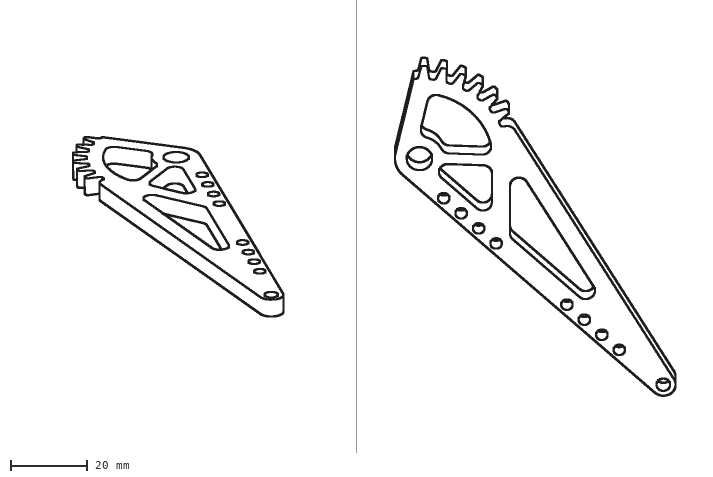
import cadquery as cq
import math

thickness = 4.8

pivot_radius = 6.4
pivot_hole_diameter = 6.6
tip_x, tip_y = 88.4, -22.5
tip_radius = 3.2
tip_hole_diameter = 3.5
bottom_y = tip_y - tip_radius

tip_distance = math.hypot(tip_x, tip_y)
top_edge_angle = math.degrees(
    math.atan2(tip_y, tip_x) - math.asin((pivot_radius - tip_radius) / tip_distance)
)
left_edge_angle = 42.2
spoke_angle = -58.0
strut_angle = 30.0

gear_teeth = 32
tooth_pitch = 360 / gear_teeth
gear_tip_radius = 27.0
gear_root_radius = 23.2
first_gap_angle = -4.4
gap_count = 7
gap_root_width = 1.6
gap_tip_width = 3.8
gap_overshoot = 1.1
gap_root_fillet = 0.75
tooth_tip_fillet = 0.5
heel_fillet = 2.3

pocket_fillet = 2.3
sector_outer_radius = 19.0
sector_inner_radius = 6.4
left_rim_width = 4.9
sector_spoke_point = (5.2, -11.7)
window_spoke_point = (7.6, -9.6)
window_strut_point = (17.7, -11.6)
slot_strut_point = (24.4, -13.2)
slot_bottom_y = -20.9
slot_end_x = 57.1

row_hole_diameter = 3.0
row_offset = 3.9
row_spacing = 6.3
row_group_starts = (12.5, 57.0)
holes_per_group = 4


def along_and_across(angle, along, across):
    """Point at a distance along a direction and to the left of it."""
    c, s = math.cos(math.radians(angle)), math.sin(math.radians(angle))
    return (along * c - across * s, along * s + across * c)


def meet(point_a, angle_a, point_b, angle_b):
    """Crossing point of two lines, each given by a point and a direction."""
    a, b = math.radians(angle_a), math.radians(angle_b)
    dx, dy = point_b[0] - point_a[0], point_b[1] - point_a[1]
    t = (dx * math.sin(b) - dy * math.cos(b)) / math.sin(b - a)
    return (point_a[0] + t * math.cos(a), point_a[1] + t * math.sin(a))


def meet_circle(point, angle, radius):
    """Forward crossing of a line with a circle about the pivot."""
    c, s = math.cos(math.radians(angle)), math.sin(math.radians(angle))
    across = point[1] * c - point[0] * s
    return along_and_across(angle, math.sqrt(radius**2 - across**2), across)


def arc_middle(start, end, radius):
    """Middle of the short arc about the pivot between two points."""
    x, y = start[0] + end[0], start[1] + end[1]
    length = math.hypot(x, y)
    return (x * radius / length, y * radius / length)


def make_plate():
    left_tangent = along_and_across(left_edge_angle, 0, pivot_radius)
    top_tangent = along_and_across(top_edge_angle, 0, pivot_radius)
    tip_offset = along_and_across(top_edge_angle, 0, tip_radius)
    tip_tangent = (tip_x + tip_offset[0], tip_y + tip_offset[1])
    tip_mid_offset = along_and_across(top_edge_angle / 2, tip_radius, 0)
    tip_mid = (tip_x + tip_mid_offset[0], tip_y + tip_mid_offset[1])
    gear_start = meet_circle(left_tangent, left_edge_angle + 180, gear_tip_radius)
    gear_end = along_and_across(-90 - first_gap_angle, gear_tip_radius, 0)
    return (
        cq.Workplane("XY")
        .moveTo(*left_tangent)
        .threePointArc(arc_middle(left_tangent, top_tangent, pivot_radius), top_tangent)
        .lineTo(*tip_tangent)
        .threePointArc(tip_mid, (tip_x, bottom_y))
        .lineTo(gear_end[0], bottom_y)
        .lineTo(*gear_end)
        .threePointArc(arc_middle(gear_end, gear_start, gear_tip_radius), gear_start)
        .close()
        .extrude(thickness)
    )


def make_gap():
    """One tooth gap pointing to -Y, flaring outwards from a rounded root."""
    flare = (gap_tip_width - gap_root_width) / (gear_tip_radius - gear_root_radius)
    mouth_half_width = (gap_tip_width + flare * gap_overshoot) / 2
    mouth_y = -gear_tip_radius - gap_overshoot
    return (
        cq.Workplane("XY")
        .polyline([
            (-gap_root_width / 2, -gear_root_radius),
            (gap_root_width / 2, -gear_root_radius),
            (mouth_half_width, mouth_y),
            (-mouth_half_width, mouth_y),
        ])
        .close()
        .extrude(thickness)
        .edges("|Z and >Y")
        .fillet(gap_root_fillet)
    )


def cut_teeth(plate):
    gap = make_gap()
    for i in range(gap_count):
        angle = first_gap_angle + i * tooth_pitch
        plate = plate.cut(gap.rotate((0, 0, 0), (0, 0, 1), -angle))
    return plate


def round_tooth_tips(plate):
    """Round every corner on the tip circle, then the heel beside the first gap."""
    tip_edges = [
        edge for edge in plate.edges("|Z").vals()
        if abs(math.hypot(edge.Center().x, edge.Center().y) - gear_tip_radius) < 0.01
    ]
    plate = plate.newObject(tip_edges).fillet(tooth_tip_fillet)
    heel_edges = [
        edge for edge in plate.edges("|Z").vals()
        if abs(edge.Center().y - bottom_y) < 0.01 and 0 < edge.Center().x < tip_x / 2
    ]
    return plate.newObject(heel_edges).fillet(heel_fillet)


def rounded_pocket(profile):
    return profile.close().extrude(thickness).edges("|Z").fillet(pocket_fillet)


def make_sector_pocket():
    rim_point = along_and_across(left_edge_angle, 0, pivot_radius - left_rim_width)
    inner_left = meet_circle(rim_point, left_edge_angle + 180, sector_inner_radius)
    outer_left = meet_circle(rim_point, left_edge_angle + 180, sector_outer_radius)
    inner_right = meet_circle(sector_spoke_point, spoke_angle, sector_inner_radius)
    outer_right = meet_circle(sector_spoke_point, spoke_angle, sector_outer_radius)
    return rounded_pocket(
        cq.Workplane("XY")
        .moveTo(*inner_left)
        .lineTo(*outer_left)
        .threePointArc(arc_middle(outer_left, outer_right, sector_outer_radius), outer_right)
        .lineTo(*inner_right)
        .threePointArc(arc_middle(inner_left, inner_right, sector_inner_radius), inner_left)
    )


def make_window_pocket():
    """Triangle whose top side lies on a line through the pivot."""
    return rounded_pocket(cq.Workplane("XY").polyline([
        meet((0, 0), top_edge_angle, window_spoke_point, spoke_angle),
        meet(window_spoke_point, spoke_angle, window_strut_point, strut_angle),
        meet(window_strut_point, strut_angle, (0, 0), top_edge_angle),
    ]))


def make_slot_pocket():
    """Long tapering pocket, its top side in line with the window's."""
    slot_corner = (slot_end_x, slot_bottom_y)
    return rounded_pocket(cq.Workplane("XY").polyline([
        meet((0, 0), top_edge_angle, slot_strut_point, strut_angle),
        meet(slot_strut_point, strut_angle, slot_corner, 0),
        slot_corner,
        meet(slot_corner, 90, (0, 0), top_edge_angle),
    ]))


def make_holes(points, diameter):
    return cq.Workplane("XY").pushPoints(points).circle(diameter / 2).extrude(thickness)


row_points = [
    along_and_across(top_edge_angle, start + i * row_spacing, row_offset)
    for start in row_group_starts
    for i in range(holes_per_group)
]

result = round_tooth_tips(cut_teeth(make_plate()))
for pocket in (make_sector_pocket(), make_window_pocket(), make_slot_pocket()):
    result = result.cut(pocket)
result = result.cut(make_holes([(0, 0)], pivot_hole_diameter))
result = result.cut(make_holes([(tip_x, tip_y)], tip_hole_diameter))
result = result.cut(make_holes(row_points, row_hole_diameter))